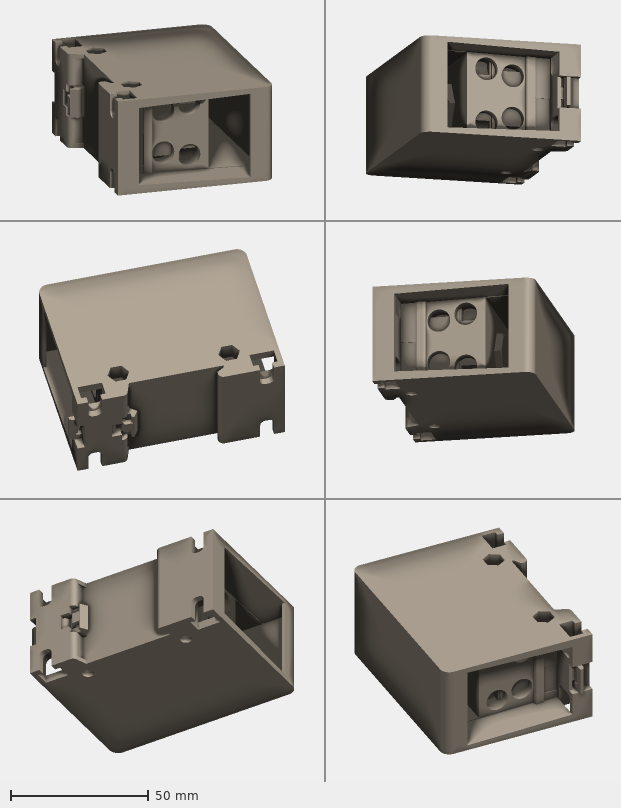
import cadquery as cq
import math

LENGTH = 78.0
HEIGHT = 60.1
WIDTH = 36.0
HALF_WIDTH = WIDTH / 2
MID_X = LENGTH / 2
LID_CORNER_R = 3.7

CHANNEL_DEPTH = 5.5
CHANNEL_LEFT_X = 20.7
CHANNEL_RIGHT_X = 56.3
LEFT_LIP_X = 19.3
RIGHT_LIP_X = 53.4
LIP_TOP_Y = 3.0
HOOK_TOP_Y = 4.7
LIP_R = 2.0
UNDERCUT_HALF_WIDTH = 16.3

FLOOR_Y = 8.2
WINDOW_TOP_Y = 50.8
DRAFT_TOP_Y = 52.6
CEILING_Y = 58.1
CAVITY_HALF_WIDTH_LOW = 14.8
CAVITY_HALF_WIDTH_HIGH = 16.0
END_WALL = 1.3
WALL_GROOVE_WIDTH = 0.7
WALL_GROOVE_DEPTH = 0.2

BLOCK_X = 14.0
BLOCK_TOP_Y = 39.3
BORE_R = 4.2
MOUTH_DEPTH = 3.2
COVE_R = 4.2
UPPER_BORE_Y = 31.9
UPPER_BORE_Z = 9.9
UPPER_COVE_Z = 8.5
LOWER_BORE_Y = 21.9
LOWER_BORE_Z = 7.9
LOWER_COVE_Z = 10.2
LEDGE_Y = 29.0
LEDGE_DEPTH = 0.8
COVE_START_Y = 29.5
SLIT_START_Y = 35.7
NUT_FLATS = 16.0
NUT_HEIGHT = 2.7

BOLT_X = 18.2
BOLT_Y = 11.0
BOLT_R = 2.2
BOLT_NUT_FLATS = 7.0
BOLT_NUT_DEPTH = 6.3
BOSS_X = 12.0
BOSS_TOP_Y = 17.4
BOSS_EDGE_R = 0.9
BOSS_RECESS_TOP_Y = 13.9
BOSS_RECESS_DEPTH = 0.8
BOSS_POCKET_DEPTH = 1.1
BOSS_POCKET_END_Z = -11.7

NOTCH_X = 6.6
SLOT_WIDTH = 5.2
SLOT_END_Z = 9.9
SEAT_WIDTH = 9.2
SEAT_END_Z = 7.9
FLANGE = 2.6
NOTCH_R = 2.0

CLIP_HALF_WIDTH = 5.4
CLIP_GAP_HALF_WIDTH = 5.9
CLIP_LOW_Y = 4.1
CLIP_TOP_Y = 5.9
TAB_END_X = -2.0
TAB_CHAMFER_X = 1.3
TAB_CHAMFER_Y = 0.6
TAB_NOTCH_DEPTH = 2.7
TUNNEL_LOW_Y = 5.8
TUNNEL_TOP_Y = 7.0
TUNNEL_DEPTH = 2.0
RIB_SETBACK = 0.4
TONGUE_HALF_WIDTH = 2.2
TONGUE_SLOT_HALF_WIDTH = 3.0
PULL_HOLE_X = 0.6
PULL_HOLE_STEP_X = 1.4
PULL_HOLE_STEP_Y = 5.0
HOOK_X = 16.7
HOOK_GAP_END_X = 21.1
FOOT_X = 20.5
FOOT_R = 0.9
FOOT_TOP_Y = 2.1
TIP_X = 23.2
TIP_Y = 2.7
TONGUE_SLOT_X = 13.0
TONGUE_SLOT_END_X = 18.6
TONGUE_ROOT_Y = 4.4
CURL_R = 1.9
CURL_NOSE_R = 0.3
CURL_TOP_Y = 2.8
BEAD_X = 16.0
BEAD_Y = 2.6
PAD_SLOPE_TOP_X = 16.5
PAD_EDGE_R = 0.6
PAD_X = 18.2


def block(x0, x1, y0, y1, z0, z1):
    """Box between two opposite corners."""
    return cq.Workplane("XY").box(x1 - x0, y1 - y0, z1 - z0, centered=False).translate((x0, y0, z0))


def across(profile, half_width):
    """Closed XY profile spread evenly to both sides of Z = 0."""
    return profile.close().extrude(half_width, both=True)


def both_ends(shape):
    """The shape and its mirror image at the other end of the housing."""
    return shape.union(shape.mirror("YZ", (MID_X, 0, 0)))


def both_sides(shape):
    """The shape and its mirror image on the other side of Z = 0."""
    return shape.union(shape.mirror("XY"))


def make_body():
    diagonal = LIP_R * math.sqrt(0.5)
    lip_x = LEFT_LIP_X - LIP_R
    rise = CHANNEL_DEPTH - LIP_R
    run = CHANNEL_LEFT_X - lip_x
    slope_normal = math.atan2(rise, run) - math.acos(LIP_R / math.hypot(run, rise))
    lip_middle = (slope_normal - math.pi / 2) / 2

    def on_lip(angle):
        return (lip_x + LIP_R * math.cos(angle), LIP_R + LIP_R * math.sin(angle))

    profile = (
        cq.Workplane("XY")
        .lineTo(lip_x, 0)
        .threePointArc(on_lip(lip_middle), on_lip(slope_normal))
        .lineTo(CHANNEL_LEFT_X, CHANNEL_DEPTH)
        .lineTo(CHANNEL_RIGHT_X, CHANNEL_DEPTH)
        .lineTo(CHANNEL_RIGHT_X, HOOK_TOP_Y)
        .lineTo(RIGHT_LIP_X, LIP_TOP_Y)
        .lineTo(RIGHT_LIP_X, LIP_R)
        .threePointArc((RIGHT_LIP_X + LIP_R - diagonal, LIP_R - diagonal), (RIGHT_LIP_X + LIP_R, 0))
        .lineTo(LENGTH, 0)
        .lineTo(LENGTH, HEIGHT)
        .lineTo(0, HEIGHT)
    )
    body = across(profile, HALF_WIDTH).edges("|Z and >Y").fillet(LID_CORNER_R)
    undercut = block(
        LEFT_LIP_X, CHANNEL_LEFT_X, 0, CHANNEL_DEPTH, -UNDERCUT_HALF_WIDTH, UNDERCUT_HALF_WIDTH
    )
    return body.cut(undercut)


def drafted_space(x0, x1, top_y, extra=0.0):
    """Inner space whose side walls lean outward from the floor upward, widened by extra on each side."""
    draft = (CAVITY_HALF_WIDTH_HIGH - CAVITY_HALF_WIDTH_LOW) / (DRAFT_TOP_Y - FLOOR_Y)
    low = CAVITY_HALF_WIDTH_LOW + extra
    high = low + draft * (top_y - FLOOR_Y)
    outline = [(FLOOR_Y, -low), (top_y, -high), (top_y, high), (FLOOR_Y, low)]
    return cq.Workplane("YZ").polyline(outline).close().extrude(x1 - x0).translate((x0, 0, 0))


def make_cavity():
    """Inner space with a window in each end wall and a thin groove in front of the terminal block."""
    far_wall = LENGTH - END_WALL
    high = CAVITY_HALF_WIDTH_HIGH
    windows = drafted_space(0, LENGTH, WINDOW_TOP_Y)
    main = drafted_space(END_WALL, far_wall, DRAFT_TOP_Y)
    lid_space = block(END_WALL, far_wall, DRAFT_TOP_Y, CEILING_Y, -high, high)
    groove = drafted_space(BLOCK_X - WALL_GROOVE_WIDTH, BLOCK_X, CEILING_Y, WALL_GROOVE_DEPTH)
    return windows.union(main).union(lid_space).union(both_ends(groove))


def bore_cylinder(y, z):
    depth = MID_X - BLOCK_X
    return cq.Workplane("YZ").center(y, z).circle(BORE_R).extrude(depth).translate((BLOCK_X, 0, 0))


def cove(y0, y1, z):
    """Space behind a bore mouth, with a hollow quarter round that turns outward from height z."""
    front = BLOCK_X + MOUTH_DEPTH
    diagonal = COVE_R * math.sqrt(0.5)
    outer = z + COVE_R
    return (
        cq.Workplane("XZ")
        .moveTo(front, z)
        .threePointArc((front + diagonal, outer - diagonal), (front + COVE_R, outer))
        .lineTo(front + COVE_R, outer + COVE_R)
        .lineTo(front, outer + COVE_R)
        .close()
        .extrude(y0 - y1)
        .translate((0, y0, 0))
    )


def make_bores():
    """Upper and lower terminal bores of one end, on both sides."""
    bore_top_y = UPPER_BORE_Y + BORE_R
    mouth_end = BLOCK_X + MOUTH_DEPTH
    mouth = block(BLOCK_X, mouth_end, FLOOR_Y, BLOCK_TOP_Y, 0, HALF_WIDTH)
    ledge = block(BLOCK_X, mouth_end + LEDGE_DEPTH, LEDGE_Y, bore_top_y, 0, HALF_WIDTH)
    slit = block(BLOCK_X, MID_X, SLIT_START_Y, bore_top_y, 0, HALF_WIDTH)
    upper_space = mouth.union(cove(COVE_START_Y, SLIT_START_Y, UPPER_COVE_Z)).union(ledge).union(slit)
    upper = bore_cylinder(UPPER_BORE_Y, UPPER_BORE_Z).intersect(upper_space)

    lower_space = mouth.union(cove(FLOOR_Y, BLOCK_TOP_Y, LOWER_COVE_Z))
    lower = bore_cylinder(LOWER_BORE_Y, LOWER_BORE_Z).intersect(lower_space)
    return both_sides(upper.union(lower))


def make_nut():
    """Hexagon nut with a coned top, standing on the terminal block."""
    corner_r = NUT_FLATS / 2 / math.cos(math.pi / 6)
    hexagon = cq.Workplane("XZ").polygon(6, 2 * corner_r).extrude(-NUT_HEIGHT)
    cone = cq.Workplane("XZ").circle(corner_r).extrude(-NUT_HEIGHT).faces(">Y").chamfer(
        (corner_r - NUT_FLATS / 2) / 2, corner_r - NUT_FLATS / 2
    )
    return hexagon.intersect(cone).translate((MID_X, BLOCK_TOP_Y, 0))


def make_terminal_block():
    bar = block(BLOCK_X, LENGTH - BLOCK_X, 0, BLOCK_TOP_Y, -HALF_WIDTH, HALF_WIDTH)
    boss = block(BOSS_X, BLOCK_X, 0, BOSS_TOP_Y, -HALF_WIDTH, HALF_WIDTH)
    boss = boss.edges("<X and >Y").fillet(BOSS_EDGE_R)
    recess = block(
        BOSS_X, BOSS_X + BOSS_RECESS_DEPTH, FLOOR_Y, BOSS_RECESS_TOP_Y, -HALF_WIDTH, HALF_WIDTH
    )
    pocket = block(
        BOSS_X, BOSS_X + BOSS_POCKET_DEPTH, FLOOR_Y, BOSS_RECESS_TOP_Y, BOSS_POCKET_END_Z, 0
    )
    solid = bar.union(both_ends(boss.cut(recess).cut(pocket))).cut(both_ends(make_bores()))
    inside = block(0, LENGTH, FLOOR_Y, HEIGHT, -HALF_WIDTH, HALF_WIDTH)
    return solid.intersect(inside).union(make_nut())


def make_bolt_holes():
    hole = cq.Workplane("XY").center(BOLT_X, BOLT_Y).circle(BOLT_R).extrude(HALF_WIDTH, both=True)
    nut_seat = (
        cq.Workplane("XY")
        .workplane(offset=HALF_WIDTH - BOLT_NUT_DEPTH)
        .center(BOLT_X, BOLT_Y)
        .polygon(6, BOLT_NUT_FLATS / math.cos(math.pi / 6))
        .extrude(BOLT_NUT_DEPTH)
    )
    return both_ends(hole.union(nut_seat))


def notch_part(width, end_z, y0, y1):
    part = block(NOTCH_X - width / 2, NOTCH_X + width / 2, y0, y1, end_z, HALF_WIDTH)
    return part.edges("|Y and <Z").fillet(NOTCH_R)


def make_mounting_notches():
    """Screw slots through the foot flange, with a wider seat above that opens into the cavity."""
    slot = notch_part(SLOT_WIDTH, SLOT_END_Z, 0, FLANGE)
    seat = notch_part(SEAT_WIDTH, SEAT_END_Z, FLANGE, FLOOR_Y)
    return both_sides(both_ends(slot.union(seat)))


def make_clip_clearance():
    gap = CLIP_GAP_HALF_WIDTH
    tab_notch = block(0, TAB_NOTCH_DEPTH, 0, FLOOR_Y, -gap, gap)
    tunnel = block(
        TAB_NOTCH_DEPTH, TAB_NOTCH_DEPTH + TUNNEL_DEPTH, TUNNEL_LOW_Y, TUNNEL_TOP_Y, -gap, gap
    )
    rib = block(
        TAB_NOTCH_DEPTH + RIB_SETBACK, TAB_NOTCH_DEPTH + TUNNEL_DEPTH, TUNNEL_LOW_Y, TUNNEL_TOP_Y,
        -TONGUE_HALF_WIDTH, TONGUE_HALF_WIDTH,
    )
    hook_gap = block(HOOK_X, HOOK_GAP_END_X, 0, CLIP_TOP_Y, -gap, gap)
    return tab_notch.union(tunnel.cut(rib)).union(hook_gap)


def make_tongue_slot():
    half = TONGUE_SLOT_HALF_WIDTH
    return block(TONGUE_SLOT_X, TONGUE_SLOT_END_X, 0, TONGUE_ROOT_Y, -half, half)


def make_tab():
    """Pull tab that sticks out of the end wall, with a stepped screwdriver hole."""
    profile = (
        cq.Workplane("XY")
        .moveTo(TAB_END_X, CLIP_TOP_Y)
        .lineTo(TAB_END_X, CLIP_LOW_Y + TAB_CHAMFER_Y)
        .lineTo(TAB_END_X + TAB_CHAMFER_X, CLIP_LOW_Y)
        .lineTo(TAB_NOTCH_DEPTH, CLIP_LOW_Y)
        .lineTo(TAB_NOTCH_DEPTH, CLIP_TOP_Y)
    )
    half = TONGUE_SLOT_HALF_WIDTH
    shallow = block(PULL_HOLE_X, PULL_HOLE_STEP_X, CLIP_LOW_Y, PULL_HOLE_STEP_Y, -half, half)
    through = block(PULL_HOLE_STEP_X, TAB_NOTCH_DEPTH, CLIP_LOW_Y, CLIP_TOP_Y, -half, half)
    return across(profile, CLIP_HALF_WIDTH).cut(shallow).cut(through)


def make_hook():
    """Hook that grips the rail."""
    diagonal = FOOT_R * math.sqrt(0.5)
    profile = (
        cq.Workplane("XY")
        .moveTo(HOOK_X, CLIP_TOP_Y)
        .lineTo(HOOK_X, FOOT_TOP_Y)
        .lineTo(FOOT_X, FOOT_TOP_Y)
        .lineTo(FOOT_X, FOOT_R)
        .threePointArc((FOOT_X + FOOT_R - diagonal, FOOT_R - diagonal), (FOOT_X + FOOT_R, 0))
        .lineTo(TIP_X, TIP_Y)
        .lineTo(CHANNEL_LEFT_X, HOOK_TOP_Y)
        .lineTo(CHANNEL_LEFT_X, CLIP_TOP_Y)
    )
    return across(profile, CLIP_HALF_WIDTH)


def make_tongue():
    """Spring tongue: a flat pad under the hook, a steep slope, a small bead and a curled end."""
    curl_x = TONGUE_SLOT_X + CURL_NOSE_R
    curl_low_y = CURL_TOP_Y - CURL_R
    half_root = math.sqrt(0.5)
    profile = (
        cq.Workplane("XY")
        .moveTo(HOOK_GAP_END_X, 0)
        .lineTo(PAD_X, 0)
        .threePointArc(
            (PAD_X - PAD_EDGE_R * half_root, PAD_EDGE_R * (1 - half_root)), (PAD_X - PAD_EDGE_R, PAD_EDGE_R)
        )
        .lineTo(PAD_SLOPE_TOP_X, CURL_TOP_Y)
        .lineTo(BEAD_X, BEAD_Y)
        .lineTo(curl_x + CURL_R, CURL_TOP_Y)
        .threePointArc((curl_x + CURL_R * half_root, CURL_TOP_Y - CURL_R * half_root), (curl_x, curl_low_y))
        .threePointArc(
            (curl_x - CURL_NOSE_R * half_root, curl_low_y + CURL_NOSE_R * (1 - half_root)),
            (TONGUE_SLOT_X, curl_low_y + CURL_NOSE_R),
        )
        .lineTo(TONGUE_SLOT_X, TONGUE_ROOT_Y)
        .lineTo(FOOT_X, TONGUE_ROOT_Y)
        .lineTo(FOOT_X, FOOT_TOP_Y)
        .lineTo(HOOK_GAP_END_X, FOOT_TOP_Y)
    )
    return across(profile, TONGUE_HALF_WIDTH)


housing = make_body().cut(make_cavity()).union(make_terminal_block())
housing = housing.cut(make_bolt_holes()).cut(make_mounting_notches()).cut(make_clip_clearance())
clip = make_tab().union(make_hook().cut(make_tongue_slot()))
result = housing.cut(make_tongue_slot()).union(clip).union(make_tongue())